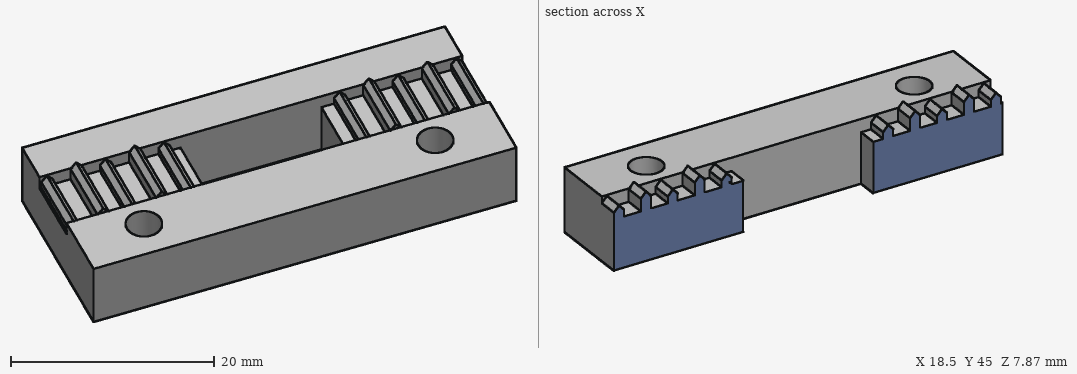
import cadquery as cq

body_width = 18.5
body_length = 45.0
body_height = 7.3

groove_wall = 4.5
groove_width = 7.0
groove_floor = 5.8
groove_center_x = -body_width / 2 + groove_wall + groove_width / 2

window_length = 15.0

hole_diameter = 3.6
hole_spacing = 31.0
hole_edge_distance = 4.0

tall_tooth_top = 7.87
short_tooth_top = 7.2
tooth_thickness = 1.2
ridge_height = 0.65
tooth_pitch = 3.115
pitch_steps = 14
first_tooth_y = body_length / 2 - tooth_thickness / 2


def make_body():
    return cq.Workplane("XY").box(body_width, body_length, body_height, centered=(True, True, False))


def make_groove():
    depth = body_height - groove_floor
    groove = cq.Workplane("XY").box(groove_width, body_length, depth, centered=(True, True, False))
    return groove.translate((groove_center_x, 0, groove_floor))


def make_window():
    window = cq.Workplane("XY").box(groove_width, window_length, body_height, centered=(True, True, False))
    return window.translate((groove_center_x, 0, 0))


def make_holes():
    hole_x = body_width / 2 - hole_edge_distance
    centers = [(hole_x, -hole_spacing / 2), (hole_x, hole_spacing / 2)]
    return cq.Workplane("XY").pushPoints(centers).circle(hole_diameter / 2).extrude(body_height)


def make_tooth(center_y, top):
    """Upright plate across the groove with a triangular ridge along its top."""
    half = tooth_thickness / 2
    shoulder = top - ridge_height
    profile = [
        (center_y - half, groove_floor),
        (center_y + half, groove_floor),
        (center_y + half, shoulder),
        (center_y, top),
        (center_y - half, shoulder),
    ]
    groove_left = groove_center_x - groove_width / 2
    plane = cq.Workplane("YZ", origin=(groove_left, 0, 0))
    return plane.polyline(profile).close().extrude(groove_width)


result = make_body().cut(make_groove()).cut(make_window()).cut(make_holes())

for step in range(pitch_steps + 1):
    tooth_y = first_tooth_y - step * tooth_pitch
    if abs(tooth_y) < window_length / 2:
        continue
    tooth_top = tall_tooth_top if step % 2 else short_tooth_top
    result = result.union(make_tooth(tooth_y, tooth_top))